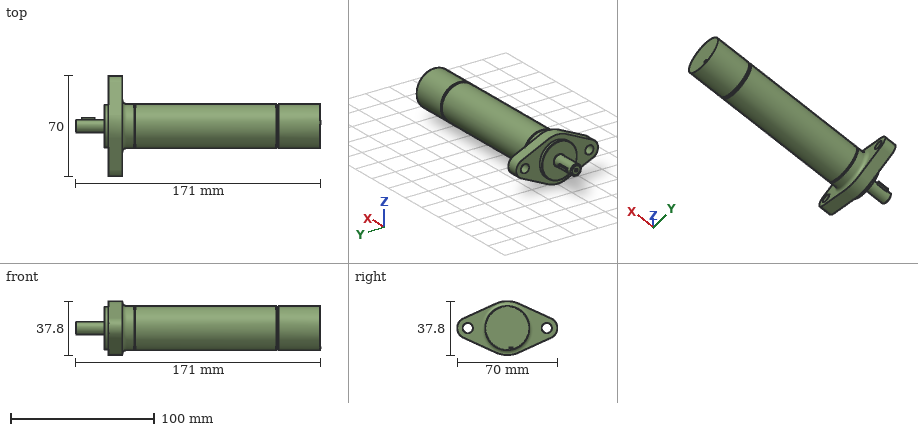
import cadquery as cq
import math

total_length = 171.0
body_end_x = 170.5

shaft_diameter = 9.0
shaft_chamfer_length = 0.6
shaft_chamfer_depth = 1.0
shaft_bore_diameter = 9.5
shaft_bore_depth = 1.0
center_hole_diameter = 1.0
center_countersink_diameter = 2.4
center_hole_depth = 3.0

key_start_x = 4.3
key_length = 9.2
key_width = 2.0
key_top_y = 6.0

pilot_start_x = 20.0
pilot_diameter = 30.0
pilot_chamfer = 0.3

flange_start_x = 22.9
flange_thickness = 9.7
flange_length = 70.0
flange_height = 37.8
hole_spacing = 55.0
hole_diameter = 7.0

body_diameter = 31.0
root_fillet = 2.7
groove_diameter = 26.0
front_groove_x = 40.7
front_groove_width = 1.0
rear_groove_x = 139.7
rear_groove_width = 1.0
rear_step_width = 0.7
rear_step_diameter = 30.0

stud_diameter = 1.0
stud_width = 2.5
stud_y = 2.5
stud_z = -13.7

flange_end_x = flange_start_x + flange_thickness
body_radius = body_diameter / 2


def cylinder(start_x, end_x, diameter):
    """Solid cylinder on the X axis between two stations."""
    return cq.Workplane("YZ", origin=(start_x, 0, 0)).circle(diameter / 2).extrude(end_x - start_x)


def make_shaft():
    """Shaft with a bevelled tip, running into the housing as far as the back of the flange."""
    radius = shaft_diameter / 2
    outline = (
        cq.Workplane("XY")
        .moveTo(0, 0)
        .lineTo(0, radius - shaft_chamfer_depth)
        .lineTo(shaft_chamfer_length, radius)
        .lineTo(flange_end_x, radius)
        .lineTo(flange_end_x, 0)
        .close()
    )
    return outline.revolve(360, (0, 0, 0), (1, 0, 0))


def make_center_hole():
    """Drilled hole with a 90 degree countersink at the shaft tip."""
    hole_radius = center_hole_diameter / 2
    sink_radius = center_countersink_diameter / 2
    outline = (
        cq.Workplane("XY")
        .moveTo(0, 0)
        .lineTo(0, sink_radius)
        .lineTo(sink_radius - hole_radius, hole_radius)
        .lineTo(center_hole_depth, hole_radius)
        .lineTo(center_hole_depth, 0)
        .close()
    )
    return outline.revolve(360, (0, 0, 0), (1, 0, 0))


def make_key():
    """Square-ended key reaching from the shaft axis to its raised top."""
    return (
        cq.Workplane("XY", origin=(key_start_x, 0, 0))
        .box(key_length, key_top_y, key_width, centered=(False, False, True))
    )


def make_flange():
    """Lozenge plate: a large middle arc joined to two end arcs by tangent lines."""
    middle_radius = flange_height / 2
    hole_y = hole_spacing / 2
    end_radius = flange_length / 2 - hole_y
    tangent_sin = (middle_radius - end_radius) / hole_y
    tangent_cos = math.sqrt(1 - tangent_sin**2)
    middle_y = middle_radius * tangent_sin
    middle_z = middle_radius * tangent_cos
    end_y = hole_y + end_radius * tangent_sin
    end_z = end_radius * tangent_cos
    return (
        cq.Workplane("YZ", origin=(flange_start_x, 0, 0))
        .moveTo(-middle_y, middle_z)
        .threePointArc((0, middle_radius), (middle_y, middle_z))
        .lineTo(end_y, end_z)
        .threePointArc((flange_length / 2, 0), (end_y, -end_z))
        .lineTo(middle_y, -middle_z)
        .threePointArc((0, -middle_radius), (-middle_y, -middle_z))
        .lineTo(-end_y, -end_z)
        .threePointArc((-flange_length / 2, 0), (-end_y, end_z))
        .close()
        .pushPoints([(-hole_y, 0), (hole_y, 0)])
        .circle(hole_diameter / 2)
        .extrude(flange_thickness)
    )


def make_pilot():
    """Short round spigot with a bevelled front edge."""
    return cylinder(pilot_start_x, flange_start_x, pilot_diameter).faces("<X").chamfer(pilot_chamfer)


def make_body():
    """Turned body with a filleted root, a front groove and a stepped rear groove."""
    groove_radius = groove_diameter / 2
    front_groove_end = front_groove_x + front_groove_width
    rear_groove_end = rear_groove_x + rear_groove_width
    rear_step_end = rear_groove_end + rear_step_width
    rear_step_radius = rear_step_diameter / 2
    arc_offset = root_fillet * (1 - math.sqrt(0.5))
    outline = (
        cq.Workplane("XY")
        .moveTo(flange_end_x, 0)
        .lineTo(flange_end_x, body_radius + root_fillet)
        .threePointArc(
            (flange_end_x + arc_offset, body_radius + arc_offset),
            (flange_end_x + root_fillet, body_radius),
        )
        .lineTo(front_groove_x, body_radius)
        .lineTo(front_groove_x, groove_radius)
        .lineTo(front_groove_end, groove_radius)
        .lineTo(front_groove_end, body_radius)
        .lineTo(rear_groove_x, body_radius)
        .lineTo(rear_groove_x, groove_radius)
        .lineTo(rear_groove_end, groove_radius)
        .lineTo(rear_groove_end, rear_step_radius)
        .lineTo(rear_step_end, rear_step_radius)
        .lineTo(rear_step_end, body_radius)
        .lineTo(body_end_x, body_radius)
        .lineTo(body_end_x, 0)
        .close()
    )
    return outline.revolve(360, (0, 0, 0), (1, 0, 0))


def make_stud():
    """Small round-ended stud standing off the rear face."""
    return (
        cq.Workplane("YZ", origin=(body_end_x, stud_y, stud_z))
        .slot2D(stud_width, stud_diameter)
        .extrude(total_length - body_end_x)
    )


housing = make_flange().union(make_pilot()).union(make_body())
housing = housing.cut(cylinder(pilot_start_x, pilot_start_x + shaft_bore_depth, shaft_bore_diameter))
result = housing.union(make_shaft()).union(make_key()).union(make_stud()).cut(make_center_hole())